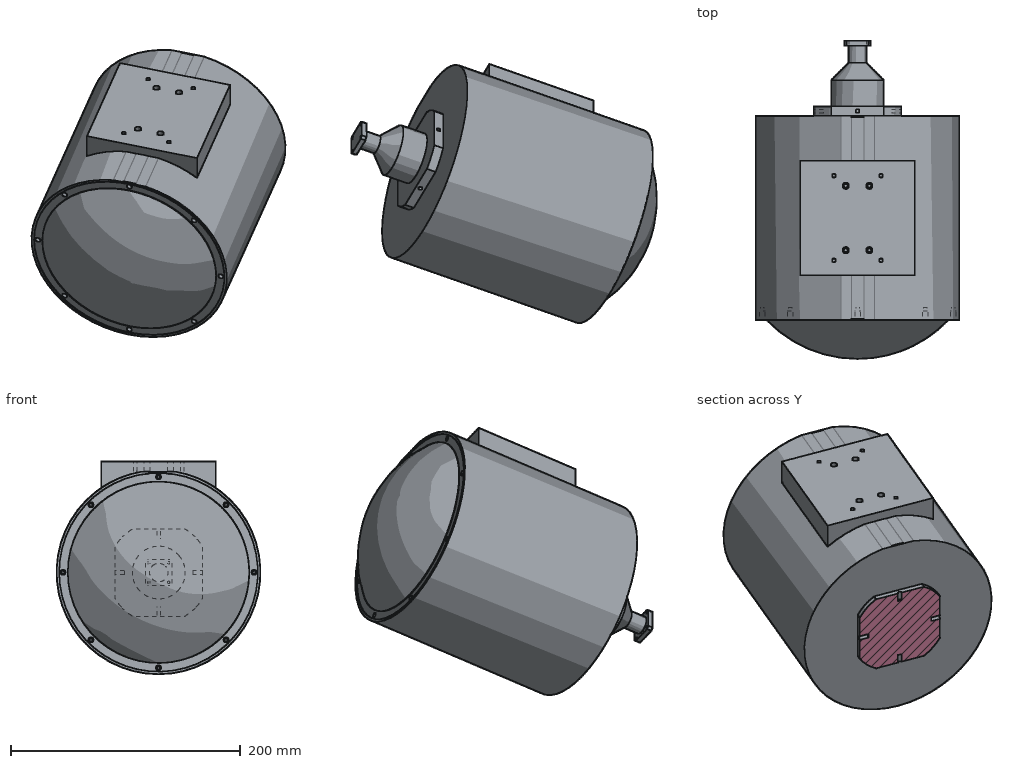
import cadquery as cq
import math

overall_height = 185.5
body_diameter = 177.7
body_radius = body_diameter / 2
body_length = 178.0
body_front = -body_length / 2
body_back = body_length / 2

flat_width = 29.5
flat_height = math.sqrt(body_radius**2 - (flat_width / 2) ** 2)
core_strip_width = 11.0
core_radius = math.sqrt(flat_height**2 + (core_strip_width / 2) ** 2)
core_end_gap = 1.0

dome_base_radius = 79.0
dome_height = 33.8
ring_radius = 86.5
ring_depth = 0.5
ring_hole_count = 8
ring_hole_circle_radius = 83.2
ring_hole_diameter = 4.5
ring_hole_depth = 8.3
ring_hole_tip_diameter = 2.8
ring_hole_tip_depth = 11.0

block_side = 100.0
block_top = overall_height - body_radius
screw_hole_diameter = 5.5
screw_hole_depth = 8.3
screw_tip_diameter = 3.3
screw_tip_depth = 11.0
screw_spacing_x = 20.5
screw_spacing_y = 56.0
pin_hole_diameter = 3.3
pin_hole_depth = 8.3
pin_point_length = 1.0
pin_spacing_x = 41.0
pin_spacing_y = 73.8

flange_diameter = 88.7
flange_across_flats = 76.3
flange_thickness = 8.3
flange_hole_diameter = 3.3
flange_hole_depth = 8.3

neck_radius = 23.0
neck_length = 22.7
stem_radius = 8.0
taper_length = 15.0
stem_length = 15.0
plate_side = 22.7
plate_thickness = 4.5
plate_corner_chamfer = 2.2
plate_hole_spacing = 17.2
plate_hole_diameter = 2.2

flange_back = body_back + flange_thickness
taper_start = flange_back + neck_length
stem_start = taper_start + taper_length
plate_start = stem_start + stem_length


def plane_facing_back(y):
    """Plane at the given Y, with its normal along +Y and its local Y along Z."""
    return cq.Workplane(cq.Plane(origin=(0, y, 0), xDir=(-1, 0, 0), normal=(0, 1, 0)))


def make_drum():
    drum = plane_facing_back(body_front).circle(body_radius).extrude(body_length)
    above_flat = cq.Workplane("XY", origin=(0, 0, flat_height)).rect(body_diameter, body_length)
    core_length = body_length - 2 * core_end_gap
    core = plane_facing_back(body_front + core_end_gap).circle(core_radius).extrude(core_length)
    return drum.cut(above_flat.extrude(body_radius)).union(core)


def make_block():
    return cq.Workplane("XY").rect(block_side, block_side).extrude(block_top)


def make_pin_point(location):
    """Conical bottom of one pin hole, for a hole that opens at the given location."""
    start = cq.Vector(0, 0, -pin_hole_depth)
    cone = cq.Solid.makeCone(pin_hole_diameter / 2, 0, pin_point_length, start, cq.Vector(0, 0, -1))
    return cone.moved(location)


def cut_block_holes(part):
    top = cq.Workplane("XY", origin=(0, 0, block_top))
    screws = top.rect(screw_spacing_x, screw_spacing_y, forConstruction=True).vertices()
    pins = top.rect(pin_spacing_x, pin_spacing_y, forConstruction=True).vertices()
    part = part.cut(screws.circle(screw_hole_diameter / 2).extrude(-screw_hole_depth))
    part = part.cut(screws.circle(screw_tip_diameter / 2).extrude(-screw_tip_depth))
    part = part.cut(pins.circle(pin_hole_diameter / 2).extrude(-pin_hole_depth))
    return part.cut(pins.eachpoint(make_pin_point, combine=False))


def cut_front_ring(part):
    ring = plane_facing_back(body_front).circle(ring_radius).circle(dome_base_radius).extrude(ring_depth)
    centers = plane_facing_back(body_front).polarArray(ring_hole_circle_radius, 0, 360, ring_hole_count)
    holes = centers.circle(ring_hole_diameter / 2).extrude(ring_hole_depth)
    tips = centers.circle(ring_hole_tip_diameter / 2).extrude(ring_hole_tip_depth)
    return part.cut(ring).cut(holes).cut(tips)


def make_dome():
    sphere_radius = (dome_base_radius**2 + dome_height**2) / (2 * dome_height)
    half_angle = math.asin(dome_base_radius / sphere_radius) / 2
    sphere_center = body_front - dome_height + sphere_radius
    mid_point = (
        sphere_radius * math.sin(half_angle),
        sphere_center - sphere_radius * math.cos(half_angle),
    )
    profile = (
        cq.Workplane("XY")
        .moveTo(0, body_front)
        .lineTo(dome_base_radius, body_front)
        .threePointArc(mid_point, (0, body_front - dome_height))
        .close()
    )
    return profile.revolve(360, (0, 0, 0), (0, 1, 0))


def make_flange():
    disc = plane_facing_back(body_back).circle(flange_diameter / 2).extrude(flange_thickness)
    square = plane_facing_back(body_back).rect(flange_across_flats, flange_across_flats)
    flange = disc.intersect(square.extrude(flange_thickness))
    hole = (
        cq.Workplane("XY", origin=(0, body_back + flange_thickness / 2, flange_across_flats / 2))
        .circle(flange_hole_diameter / 2)
        .extrude(-flange_hole_depth)
    )
    for angle in (0, 90, 180, 270):
        flange = flange.cut(hole.rotate((0, 0, 0), (0, 1, 0), angle))
    return flange


def make_neck():
    outline = [
        (0, flange_back),
        (neck_radius, flange_back),
        (neck_radius, taper_start),
        (stem_radius, stem_start),
        (stem_radius, plate_start),
        (0, plate_start),
    ]
    return cq.Workplane("XY").polyline(outline).close().revolve(360, (0, 0, 0), (0, 1, 0))


def make_plate():
    plate = plane_facing_back(plate_start).rect(plate_side, plate_side).extrude(plate_thickness)
    holes = (
        plane_facing_back(plate_start)
        .rect(plate_hole_spacing, plate_hole_spacing, forConstruction=True)
        .vertices()
        .circle(plate_hole_diameter / 2)
        .extrude(plate_thickness)
    )
    return plate.edges("|Y").chamfer(plate_corner_chamfer).cut(holes)


body = make_drum().union(make_block())
body = cut_front_ring(cut_block_holes(body))
result = body.union(make_dome()).union(make_flange()).union(make_neck()).union(make_plate())